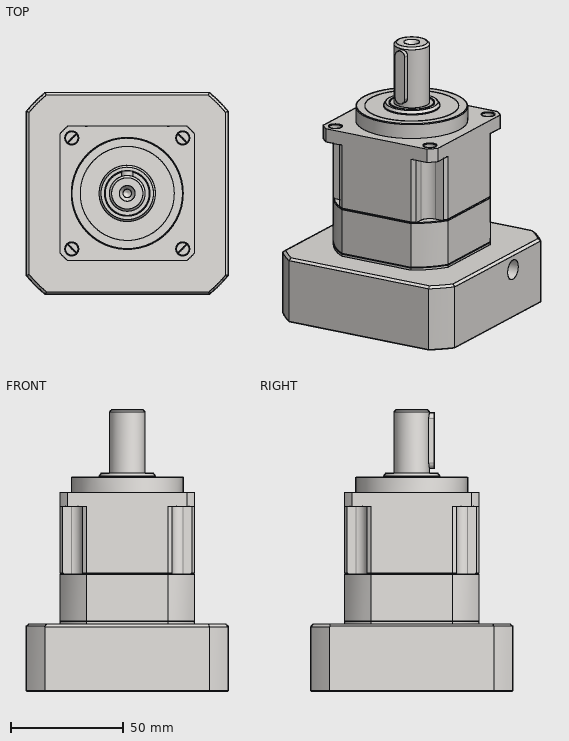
import cadquery as cq
import math

ADAPTER_TOP = 30.0
PLINTH_TOP = 31.0
STAGE_TOP = 52.3
FLANGE_BOTTOM = 82.3
FLANGE_TOP = 88.6
PILOT_TOP = 95.5
HUB_TOP = 97.1
SHAFT_TOP = 125.5

ADAPTER_SIDE = 90.0
ADAPTER_CORNER_RADIUS = 58.0
ADAPTER_TOP_CHAMFER_WIDTH = 1.0
ADAPTER_TOP_CHAMFER_HEIGHT = 1.3
ADAPTER_BOTTOM_CHAMFER = 0.4

ACCESS_Y = -12.9
ACCESS_Z = 22.5
ACCESS_RADIUS = 4.5
ACCESS_DEPTH = 15.0
SCREW_RADIUS = 2.0
SCREW_END_RADIUS = 21.3
SCREW_CHAMFER = 0.5
STEP_OFFSET = 3.4
STEP_DEPTH = 1.3

GEARBOX_SIDE = 60.0
STAGE_CORNER_RADIUS = 35.0
FLANGE_CORNER_RADIUS = 40.0
JOINT_CHAMFER = 0.4

BOLT_SPACING = 49.5
BOLT_RADIUS = 2.8
BOLT_CHAMFER = 0.4
BOLT_CHAMFER_ANGLE = 90.0
NOTCH_FILLET = 4.8
NOTCH_INNER = BOLT_SPACING / 2 - NOTCH_FILLET

PILOT_RADIUS = 25.0
PILOT_CHAMFER = 0.4
COVER_RADIUS = 21.0
COVER_RECESS = 0.1
HUB_RADIUS = 12.5
HUB_CHAMFER_WIDTH = 0.9
HUB_CHAMFER_HEIGHT = 1.3
GAP_RADIUS = 10.2
GAP_DEPTH = 0.5

SHAFT_DIAMETER = 16.0
SHAFT_CHAMFER = 1.0
SHOULDER_RADIUS = 9.8
SHOULDER_BOTTOM = FLANGE_TOP
CENTRE_CONE_RADIUS = 3.5
CENTRE_BORE_RADIUS = 1.9
CENTRE_BORE_DEPTH = 12.5
CENTRE_CONE_HALF_ANGLE = 30.0
DRILL_TIP_HALF_ANGLE = 60.0
KEY_WIDTH = 5.0
KEY_OUTER_Y = 10.0
KEY_INNER_Y = KEY_OUTER_Y - KEY_WIDTH
KEY_LENGTH = 25.0
KEY_BOTTOM = 99.1


def cylinder(radius, bottom, top):
    return cq.Workplane("XY", origin=(0, 0, bottom)).circle(radius).extrude(top - bottom)


def rounded_square(side, corner_radius, bottom, top):
    """Square block trimmed at its corners by a cylinder about the Z axis."""
    block = cq.Workplane("XY", origin=(0, 0, bottom)).rect(side, side).extrude(top - bottom)
    return block.intersect(cylinder(corner_radius, bottom, top))


def access_bore(radius, start_x, depth):
    plane = cq.Workplane("YZ", origin=(start_x, ACCESS_Y, ACCESS_Z))
    return plane.circle(radius).extrude(depth)


def make_adapter():
    block = rounded_square(ADAPTER_SIDE, ADAPTER_CORNER_RADIUS, 0, ADAPTER_TOP)
    block = block.faces("<Z").chamfer(ADAPTER_BOTTOM_CHAMFER)
    block = block.faces(">Z").chamfer(ADAPTER_TOP_CHAMFER_HEIGHT, ADAPTER_TOP_CHAMFER_WIDTH)

    floor_x = ACCESS_DEPTH - ADAPTER_SIDE / 2
    block = block.cut(access_bore(ACCESS_RADIUS, -ADAPTER_SIDE / 2, ACCESS_DEPTH))

    screw_hole = access_bore(SCREW_RADIUS, floor_x, -floor_x)
    screw_end = access_bore(SCREW_RADIUS, 0, SCREW_END_RADIUS).intersect(
        cylinder(SCREW_END_RADIUS, 0, ADAPTER_TOP)
    )
    screw_mouth = cq.Workplane(
        cq.Solid.makeCone(
            SCREW_RADIUS + SCREW_CHAMFER,
            SCREW_RADIUS,
            SCREW_CHAMFER,
            pnt=cq.Vector(floor_x, ACCESS_Y, ACCESS_Z),
            dir=cq.Vector(1, 0, 0),
        )
    )
    strip = (
        cq.Workplane("XY")
        .box(STEP_DEPTH, ACCESS_RADIUS, 2 * ACCESS_RADIUS, centered=(False, False, True))
        .translate((floor_x, ACCESS_Y - STEP_OFFSET - ACCESS_RADIUS, ACCESS_Z))
        .intersect(access_bore(ACCESS_RADIUS, floor_x, STEP_DEPTH))
    )
    return block.cut(screw_hole.union(screw_end)).cut(screw_mouth).cut(strip)


def corner_notches():
    """Square notches with a rounded inner edge, one per corner of the front section."""
    size = GEARBOX_SIDE / 2 - NOTCH_INNER
    centre = NOTCH_INNER + size / 2
    height = FLANGE_BOTTOM - STAGE_TOP
    notch = (
        cq.Workplane("XY", origin=(centre, centre, STAGE_TOP))
        .rect(size, size)
        .extrude(height)
        .edges("|Z and <X and <Y")
        .fillet(NOTCH_FILLET)
    )
    return [notch.rotate((0, 0, 0), (0, 0, 1), angle) for angle in (0, 90, 180, 270)]


def make_gearbox():
    plinth = rounded_square(GEARBOX_SIDE, STAGE_CORNER_RADIUS, ADAPTER_TOP, PLINTH_TOP)
    stage = rounded_square(GEARBOX_SIDE, STAGE_CORNER_RADIUS, PLINTH_TOP, STAGE_TOP)
    front = rounded_square(GEARBOX_SIDE, STAGE_CORNER_RADIUS, STAGE_TOP, FLANGE_BOTTOM)
    flange = rounded_square(GEARBOX_SIDE, FLANGE_CORNER_RADIUS, FLANGE_BOTTOM, FLANGE_TOP)
    pilot = cylinder(PILOT_RADIUS, FLANGE_TOP, PILOT_TOP).faces(">Z").chamfer(PILOT_CHAMFER)

    stage = stage.faces(">Z or <Z").chamfer(JOINT_CHAMFER)
    front = front.faces("<Z").chamfer(JOINT_CHAMFER)
    for notch in corner_notches():
        front = front.cut(notch)

    flange = (
        flange.faces(">Z")
        .workplane(origin=(0, 0, FLANGE_TOP))
        .rect(BOLT_SPACING, BOLT_SPACING, forConstruction=True)
        .vertices()
        .cskHole(2 * BOLT_RADIUS, 2 * (BOLT_RADIUS + BOLT_CHAMFER), BOLT_CHAMFER_ANGLE)
    )

    pilot = pilot.cut(cylinder(COVER_RADIUS, PILOT_TOP - COVER_RECESS, PILOT_TOP))
    hub = cylinder(HUB_RADIUS, FLANGE_TOP, HUB_TOP).faces(">Z").chamfer(HUB_CHAMFER_HEIGHT, HUB_CHAMFER_WIDTH)

    shaft_seat = cylinder(SHOULDER_RADIUS, SHOULDER_BOTTOM, HUB_TOP)
    gap = cylinder(GAP_RADIUS, HUB_TOP - GAP_DEPTH, HUB_TOP)
    body = plinth.union(stage).union(front).union(flange).union(pilot).union(hub)
    return body.cut(shaft_seat).cut(gap)


def centre_hole():
    """Conical mouth, straight bore and drill tip in the end of the shaft."""
    cone_depth = (CENTRE_CONE_RADIUS - CENTRE_BORE_RADIUS) / math.tan(math.radians(CENTRE_CONE_HALF_ANGLE))
    tip_length = CENTRE_BORE_RADIUS / math.tan(math.radians(DRILL_TIP_HALF_ANGLE))
    bore_bottom = SHAFT_TOP - CENTRE_BORE_DEPTH
    return (
        cq.Workplane("XZ")
        .moveTo(0, SHAFT_TOP)
        .lineTo(CENTRE_CONE_RADIUS, SHAFT_TOP)
        .lineTo(CENTRE_BORE_RADIUS, SHAFT_TOP - cone_depth)
        .lineTo(CENTRE_BORE_RADIUS, bore_bottom)
        .lineTo(0, bore_bottom - tip_length)
        .close()
        .revolve(360, (0, 0, 0), (0, 1, 0))
    )


def make_shaft():
    shoulder = cylinder(SHOULDER_RADIUS, SHOULDER_BOTTOM, HUB_TOP)
    journal = cylinder(SHAFT_DIAMETER / 2, HUB_TOP, SHAFT_TOP).faces(">Z").chamfer(SHAFT_CHAMFER)
    key = (
        cq.Workplane("XZ", origin=(0, KEY_OUTER_Y, KEY_BOTTOM + KEY_LENGTH / 2))
        .slot2D(KEY_LENGTH, KEY_WIDTH, 90)
        .extrude(KEY_OUTER_Y - KEY_INNER_Y)
    )
    return shoulder.union(journal).union(key).cut(centre_hole())


motor_adapter = make_adapter()
gearbox = make_gearbox()
output_shaft = make_shaft()

result = cq.Compound.makeCompound([motor_adapter.val(), gearbox.val(), output_shaft.val()])